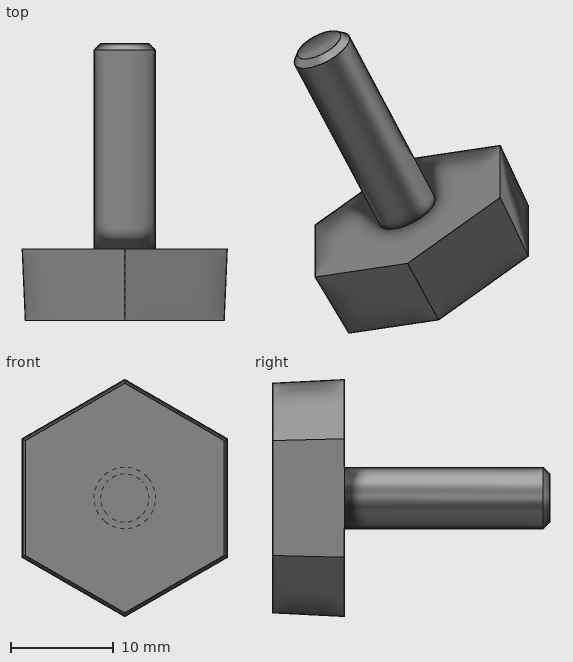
import cadquery as cq
import math

total_length = 27.0
head_length = 7.0
flats_width = 20.0
head_draft = 2.5

shaft_diameter = 6.0
tip_diameter = 4.7
tip_length = 0.65


def hexagonal_head():
    """Tapered hexagon with two corners on Z, widest where the shaft starts."""
    corner_diameter = flats_width / math.cos(math.radians(30))
    return (
        cq.Workplane("XZ", origin=(0, head_length, 0))
        .transformed(rotate=(0, 0, 90))
        .polygon(6, corner_diameter)
        .extrude(head_length, taper=head_draft)
    )


def shaft():
    """Round shaft with a conical lead-in at its free end."""
    shaft_radius = shaft_diameter / 2
    tip_radius = tip_diameter / 2
    return (
        cq.Workplane("XY")
        .polyline([
            (0, head_length / 2),
            (shaft_radius, head_length / 2),
            (shaft_radius, total_length - tip_length),
            (tip_radius, total_length),
            (0, total_length),
        ])
        .close()
        .revolve(360, (0, 0, 0), (0, 1, 0))
    )


result = hexagonal_head().union(shaft())